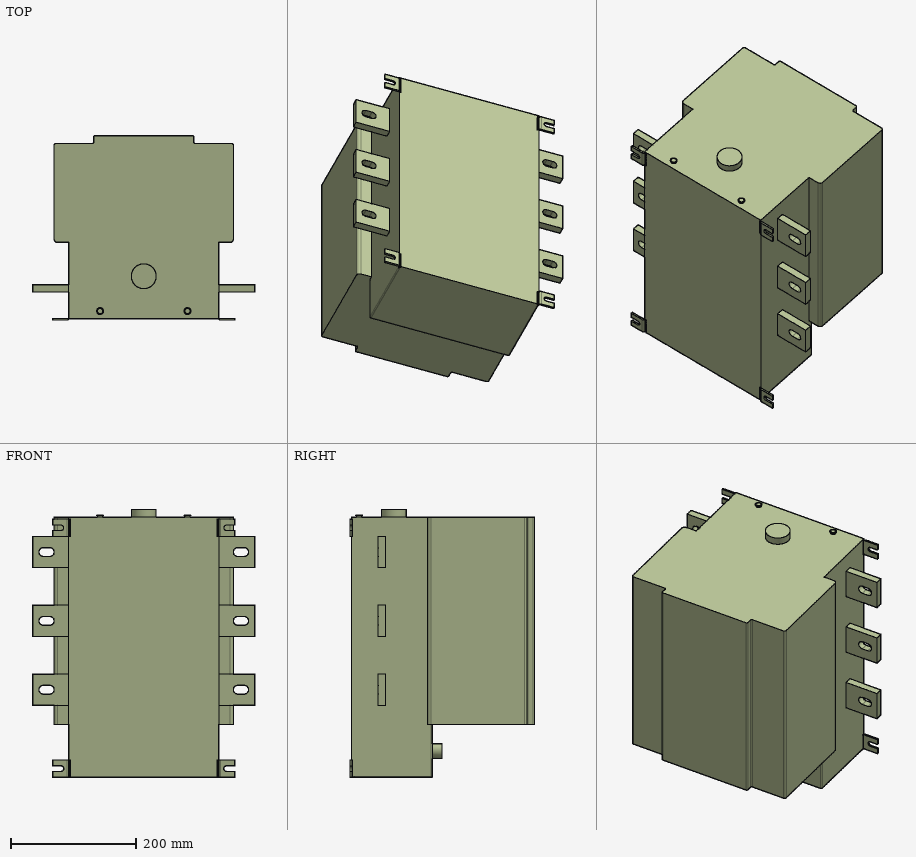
import cadquery as cq


overall_height = 428.5

housing_width = 240.0
housing_front = 2.0
housing_back = 132.0
housing_height = 416.3
housing_back_radius = 2.0
housing_bottom_radius = 1.7

cover_width = 287.5
cover_front = 124.5
cover_back = 283.0
cover_bottom = 84.5
cover_height = housing_height - cover_bottom
cover_front_radius = 5.5
cover_back_radius = 3.5
strip_width = 160.5
strip_back = 295.5
strip_edge_radius = 2.0

bar_span = 356.0
bar_height = 50.0
bar_thickness = 12.0
bar_front = 45.0
bar_pitch = 110.0
bar_top_level = 360.5
bar_levels = [bar_top_level - row * bar_pitch for row in range(3)]
bar_slot_offset = 155.5
bar_slot_length = 24.0
bar_slot_width = 13.7

tab_tip = 145.8
tab_inner = 119.0
tab_height = 28.0
tab_thickness = 3.0
tab_bend_radius = 4.0
tab_leg_back = 6.5
tab_slot_width = 8.5
tab_slot_end = 128.0
tab_bottoms = [0, 385.5]
relief_inner = 117.5

top_knob_diameter = 40.0
top_knob_height = overall_height - housing_height
top_knob_y = 70.5
rear_knob_diameter = 24.0
rear_knob_back = 147.5
rear_knob_level = 42.0
screw_offset = 70.0
screw_y = 14.5
screw_height = 4.0
screw_neck_diameter = 8.5
screw_head_diameter = 11.0
screw_head_thickness = 1.0
screw_head_taper = 60

SIDES = (-1, 1)


def block(width, front, back, bottom, height):
    """Box centred on the width, placed by its front, back and bottom."""
    return (
        cq.Workplane("XY", origin=(0, (front + back) / 2, bottom))
        .box(width, back - front, height, centered=(True, True, False))
    )


def make_housing():
    body = block(housing_width, housing_front, housing_back, 0, housing_height)
    body = body.edges("|Z and >Y").fillet(housing_back_radius)
    return body.edges("|Y and <Z").fillet(housing_bottom_radius)


def make_cover():
    cover = block(cover_width, cover_front, cover_back, cover_bottom, cover_height)
    cover = cover.edges("|Z and <Y").fillet(cover_front_radius)
    cover = cover.edges("|Z and >Y").fillet(cover_back_radius)
    cover = cover.union(block(strip_width, cover_front, strip_back, cover_bottom, cover_height))
    root_reach = strip_width / 2 + strip_edge_radius
    root_edges = cq.selectors.BoxSelector(
        (-root_reach, cover_back - strip_edge_radius, cover_bottom),
        (root_reach, cover_back + strip_edge_radius, housing_height),
    )
    cover = cover.edges("|Z").edges(root_edges).fillet(strip_edge_radius)
    return cover.edges("|Z and >Y").fillet(strip_edge_radius)


def make_terminal_bar(level):
    bar = block(bar_span, bar_front, bar_front + bar_thickness, level - bar_height / 2, bar_height)
    slots = (
        cq.Workplane("XZ", origin=(0, bar_front, level))
        .pushPoints([(side * bar_slot_offset, 0) for side in SIDES])
        .slot2D(bar_slot_length, bar_slot_width)
        .extrude(-bar_thickness)
    )
    return bar.cut(slots)


def make_right_tab(bottom):
    """L-shaped tab with a rounded bend and a slot open at its tip."""
    bend_diagonal = tab_bend_radius * (1 - 0.5 ** 0.5)
    leg_outer = housing_width / 2
    tab = (
        cq.Workplane("XY", origin=(0, 0, bottom))
        .moveTo(tab_tip, 0)
        .lineTo(tab_inner + tab_bend_radius, 0)
        .threePointArc((tab_inner + bend_diagonal, bend_diagonal), (tab_inner, tab_bend_radius))
        .lineTo(tab_inner, tab_leg_back)
        .lineTo(leg_outer, tab_leg_back)
        .lineTo(leg_outer, tab_thickness)
        .lineTo(tab_tip, tab_thickness)
        .close()
        .extrude(tab_height)
    )
    slot_length = 2 * (tab_tip - tab_slot_end)
    slot = (
        cq.Workplane("XZ", origin=(tab_tip, 0, bottom + tab_height / 2))
        .slot2D(slot_length, tab_slot_width)
        .extrude(-tab_thickness)
    )
    return tab.cut(slot)


def make_bend_reliefs(bottom):
    """Narrow steps in both front corners of the housing, clearing the bends of the tabs."""
    full_band = block(housing_width, housing_front, tab_bend_radius, bottom, tab_height)
    kept_band = block(2 * relief_inner, housing_front, tab_bend_radius, bottom, tab_height)
    return full_band.cut(kept_band)


def make_top_knob():
    return (
        cq.Workplane("XY", origin=(0, top_knob_y, housing_height))
        .circle(top_knob_diameter / 2)
        .extrude(top_knob_height)
    )


def make_rear_knob():
    return (
        cq.Workplane("XZ", origin=(0, rear_knob_back, rear_knob_level))
        .circle(rear_knob_diameter / 2)
        .extrude(rear_knob_back - housing_back)
    )


def make_screw(x):
    neck = (
        cq.Workplane("XY", origin=(x, screw_y, housing_height))
        .circle(screw_neck_diameter / 2)
        .extrude(screw_height)
    )
    head = (
        cq.Workplane("XY", origin=(x, screw_y, housing_height + screw_height - screw_head_thickness))
        .circle(screw_head_diameter / 2)
        .extrude(screw_head_thickness, taper=screw_head_taper)
    )
    return neck.union(head)


result = make_housing().union(make_cover())
for bar_level in bar_levels:
    result = result.union(make_terminal_bar(bar_level))
for tab_bottom in tab_bottoms:
    result = result.cut(make_bend_reliefs(tab_bottom))
    right_tab = make_right_tab(tab_bottom)
    result = result.union(right_tab).union(right_tab.mirror("YZ"))
result = result.union(make_top_knob()).union(make_rear_knob())
for side in SIDES:
    result = result.union(make_screw(side * screw_offset))